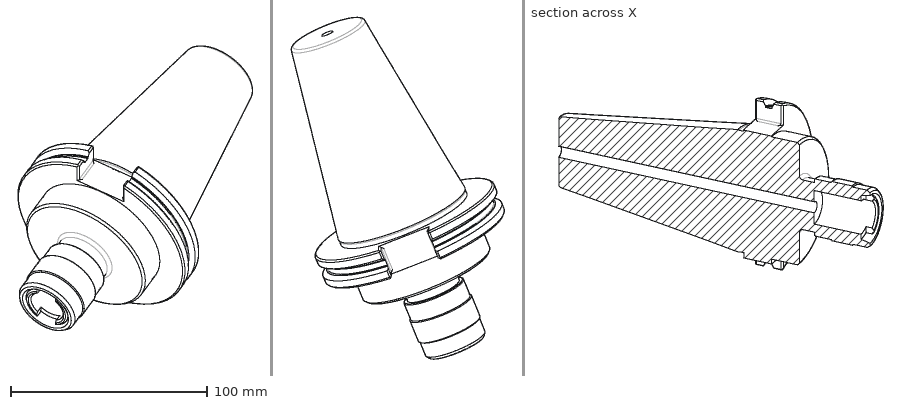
import cadquery as cq
import math


gauge_radius = 69.85 / 2
taper_length = 101.6
taper_slope = 7 / 48
taper_end_radius = gauge_radius - taper_slope * taper_length
taper_end_round = 1.5

relief_radius = gauge_radius - 0.25
relief_start = -0.8

flange_radius = 98.4 / 2
flange_width = 15.875
flange_rear = -3.175
flange_front = flange_rear - flange_width
flange_middle = (flange_rear + flange_front) / 2
flange_chamfer = 0.9
groove_floor_radius = 45.5
groove_wall_width = 3.6
groove_corner_radius = 0.4
groove_corner_top = groove_floor_radius + groove_corner_radius
groove_floor_width = groove_wall_width - 2 * groove_corner_radius
groove_flank_radius = 46.4
groove_flank_angle = 30
groove_flank = (flange_radius - groove_flank_radius) * math.tan(math.radians(groove_flank_angle))
groove_mouth_width = groove_wall_width + 2 * groove_flank

slot_width = 25.7
upper_slot_floor = 35.3
lower_slot_floor = 37.6
slot_corner_radius = 1.0
slot_edge_chamfer = 1.0

body_radius = gauge_radius
body_front = -35.0
body_chamfer = 1.2
neck_radius = 14.25
neck_fillet = 1.8

nose_end = -75.0
sleeve_radius = 16.4
sleeve_rear = nose_end + 31.6
collar_radius = 17.0
collar_front = nose_end + 10.1
collar_rear = nose_end + 21.6
sleeve_edge_chamfer = 0.5
nose_chamfer_length = 1.7
nose_chamfer_radial = 1.2

mouth_radius = 13.5
ring_outer_radius = 12.3
ring_face_radius = 11.4
ring_depth = 0.6
ring_chamfer_depth = 1.5
bore_radius = 9.4
bore_chamfer = 1.0
bore_depth = sleeve_rear - nose_end
clutch_slot_width = 11.0
clutch_slot_depth = 5.1
coolant_radius = 3.0


def turned_body():
    """Solid of revolution: taper, flange, front body, neck and sleeve."""
    profile = (
        cq.Workplane("XY")
        .moveTo(0, nose_end)
        .lineTo(sleeve_radius - nose_chamfer_radial, nose_end)
        .lineTo(sleeve_radius, nose_end + nose_chamfer_length)
        .lineTo(sleeve_radius, collar_front - sleeve_edge_chamfer)
        .lineTo(collar_radius, collar_front)
        .lineTo(collar_radius, collar_rear)
        .lineTo(sleeve_radius, collar_rear + sleeve_edge_chamfer)
        .lineTo(sleeve_radius, sleeve_rear - sleeve_edge_chamfer)
        .lineTo(sleeve_radius - sleeve_edge_chamfer, sleeve_rear)
        .lineTo(neck_radius, sleeve_rear)
        .lineTo(neck_radius, body_front - neck_fillet)
        .radiusArc((neck_radius + neck_fillet, body_front), neck_fillet)
        .lineTo(body_radius - body_chamfer, body_front)
        .lineTo(body_radius, body_front + body_chamfer)
        .lineTo(body_radius, flange_front)
        .lineTo(flange_radius - flange_chamfer, flange_front)
        .lineTo(flange_radius, flange_front + flange_chamfer)
        .lineTo(flange_radius, flange_middle - groove_mouth_width / 2)
        .lineTo(groove_flank_radius, flange_middle - groove_wall_width / 2)
        .lineTo(groove_corner_top, flange_middle - groove_wall_width / 2)
        .radiusArc((groove_floor_radius, flange_middle - groove_floor_width / 2), groove_corner_radius)
        .lineTo(groove_floor_radius, flange_middle + groove_floor_width / 2)
        .radiusArc((groove_corner_top, flange_middle + groove_wall_width / 2), groove_corner_radius)
        .lineTo(groove_flank_radius, flange_middle + groove_wall_width / 2)
        .lineTo(flange_radius, flange_middle + groove_mouth_width / 2)
        .lineTo(flange_radius, flange_rear - flange_chamfer)
        .lineTo(flange_radius - flange_chamfer, flange_rear)
        .lineTo(relief_radius, flange_rear)
        .lineTo(relief_radius, relief_start)
        .lineTo(gauge_radius, 0)
        .lineTo(taper_end_radius, taper_length)
        .lineTo(0, taper_length)
        .close()
    )
    solid = profile.revolve(360, (0, 0, 0), (0, 1, 0))
    return solid.faces(">Y").edges().fillet(taper_end_round)


def wall_flare_cutter(slot_floor, face, inward):
    """Sharp-floored flare of a drive slot at one flange face; inward is the Y sign into the flange."""
    flare_depth = slot_edge_chamfer + slot_corner_radius
    wide_half = slot_width / 2 + slot_edge_chamfer
    narrow_half = wide_half - flare_depth
    inner_end = face + inward * flare_depth
    plan = [(wide_half, face), (narrow_half, inner_end), (-narrow_half, inner_end), (-wide_half, face)]
    height = flange_radius - slot_floor
    return cq.Workplane("XY", origin=(0, 0, slot_floor)).polyline(plan).close().extrude(height)


def drive_slot_cutter(slot_floor):
    """Cutter for a drive slot on the +Z side, flared where its walls meet the flange faces and rim."""
    half = slot_width / 2
    rear_plane = cq.Workplane("XZ", origin=(0, flange_rear, 0))
    height = flange_radius - slot_floor
    channel = rear_plane.center(0, slot_floor + height / 2).rect(slot_width, height).extrude(flange_width)
    channel = channel.edges("|Y and <Z").fillet(slot_corner_radius)

    flare_bottom = math.sqrt(flange_radius**2 - half**2) - slot_edge_chamfer
    flare_half = half + slot_edge_chamfer
    flare_rim = math.sqrt(flange_radius**2 - flare_half**2)
    top_half = half + slot_edge_chamfer * (flange_radius - flare_bottom) / (flare_rim - flare_bottom)
    rim_section = [
        (half, flare_bottom),
        (top_half, flange_radius),
        (-top_half, flange_radius),
        (-half, flare_bottom),
    ]
    rim_flare = cq.Workplane("XZ", origin=(0, flange_rear, 0)).polyline(rim_section).close()

    return (
        channel.union(rim_flare.extrude(flange_width))
        .union(wall_flare_cutter(slot_floor, flange_rear, -1))
        .union(wall_flare_cutter(slot_floor, flange_front, 1))
    )


def clutch_mouth_cutter():
    """Turned recess in the nose: tapered gap around the clutch ring, chamfered bore and coolant hole."""
    bore_mouth_radius = bore_radius + bore_chamfer
    profile = (
        cq.Workplane("XY")
        .moveTo(0, nose_end)
        .lineTo(mouth_radius, nose_end)
        .lineTo(ring_outer_radius, nose_end + clutch_slot_depth)
        .lineTo(ring_outer_radius, nose_end + ring_chamfer_depth)
        .lineTo(ring_face_radius, nose_end + ring_depth)
        .lineTo(bore_mouth_radius, nose_end + ring_depth)
        .lineTo(bore_radius, nose_end + ring_depth + bore_chamfer)
        .lineTo(bore_radius, nose_end + bore_depth)
        .lineTo(coolant_radius, nose_end + bore_depth)
        .lineTo(coolant_radius, taper_length)
        .lineTo(0, taper_length)
        .close()
    )
    return profile.revolve(360, (0, 0, 0), (0, 1, 0))


def clutch_slot_cutter():
    """Slot across the clutch ring, closed at both ends by the ring's outer radius."""
    strip = cq.Workplane("XY").box(clutch_slot_width, clutch_slot_depth, 2 * ring_outer_radius)
    strip = strip.translate((0, nose_end + clutch_slot_depth / 2, 0))
    nose_plane = cq.Workplane("XZ", origin=(0, nose_end, 0))
    return strip.intersect(nose_plane.circle(ring_outer_radius).extrude(-clutch_slot_depth))


upper_drive_slot = drive_slot_cutter(upper_slot_floor)
lower_drive_slot = drive_slot_cutter(lower_slot_floor).rotate((0, 0, 0), (0, 1, 0), 180)

result = (
    turned_body()
    .cut(upper_drive_slot)
    .cut(lower_drive_slot)
    .cut(clutch_mouth_cutter())
    .cut(clutch_slot_cutter())
)